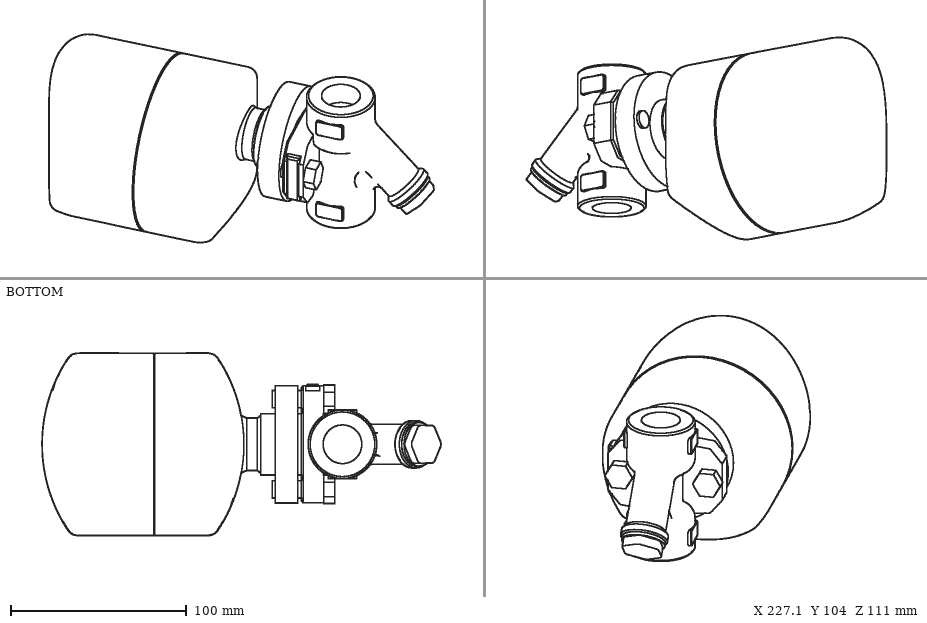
import cadquery as cq
import math

HOUSING_DIA = 104.0
HOUSING_LENGTH = 115.0
HOUSING_FREE_END_DIA = 103.8
TAPER_END_X = 50.9
END_CURVE_RADIUS = 88.5
LOWER_CORNER_CUT = 27.2
HOUSING_FILLET = 6.8
SEAM_X = 63.5
SEAM_WIDTH = 0.7
SEAM_DEPTH = 0.5

STEM_Z = 19.0
NECK_DIA = 30.0
NECK_FLARE_DIA = 33.0
NECK_FLARE_X = 113.0
NECK_START_X = 116.5
NECK_END_X = 122.5
COLLAR_DIA = 35.0
COLLAR_START_X = 124.5
FLANGE_DIA = 67.0
FLANGE_START_X = 132.5
FLANGE_THICKNESS = 13.0
BOLT_DIA = 10.0
BOLT_OFFSET = 25.7
BOLT_TIP = 1.5
NUT_FLATS = 14.0
NUT_HEIGHT = 6.4

PLATE_START_X = 147.5
PLATE_END_X = 160.3
PLATE_HALF_WIDTH = 33.4
PLATE_RIDGE_Z = 22.7
PLATE_EDGE_Y = 26.3
PLATE_EDGE_Z = 20.0
PLATE_SIDE_Z = 11.4
PLATE_EDGE_FILLET = 1.8
PLATE_BASE_CHAMFER = 1.1
SIDE_PAD_HEIGHT = 29.7
SIDE_PAD_WIDTH = 8.0
SIDE_PAD_Y = 34.0
SIDE_PAD_CHAMFER = 1.1

VALVE_X = 171.0
VALVE_DIA = 39.0
VALVE_HEIGHT = 80.0
VALVE_CHAMFER = 1.1
PORT_DIA = 22.0
PORT_DEPTH = 12.7
WAIST_DIA = 25.0
WAIST_HALF_HEIGHT = 6.5
SHOULDER_HALF_HEIGHT = 18.8
WAIST_DROP = 2.0
LABEL_WIDTH = 16.3
LABEL_HEIGHT = 10.0
LABEL_CORNER = 1.8
LABEL_CHAMFER = 0.5
LABEL_Z = 28.5
LABEL_Y = 19.8

LEG_ROOT_Z = 26.3
LEG_DIA = 23.0
LEG_COLLAR_DIA = 27.0
LEG_LIP_DIA = 25.0
CONE_START = 53.5
RIM_START = 55.9
RIM_END = 59.3
LIP_START = 60.2
HEX_START = 62.0
LEG_END = 67.5
HEX_CORNERS = 24.7
HEX_CORNER_FILLET = 3.2
LEG_FILLET = 5.5


def x_cylinder(start_x, end_x, diameter, y=0.0, z=STEM_Z):
    return cq.Workplane("YZ", origin=(start_x, y, z)).circle(diameter / 2).extrude(end_x - start_x)


def housing():
    radius = HOUSING_DIA / 2
    drum = (
        cq.Workplane("XY")
        .moveTo(0, 0)
        .lineTo(0, HOUSING_FREE_END_DIA / 2)
        .lineTo(TAPER_END_X, radius)
        .lineTo(HOUSING_LENGTH, radius)
        .lineTo(HOUSING_LENGTH, 0)
        .close()
        .revolve(360, (0, 0, 0), (1, 0, 0))
    )
    for centre_x in (END_CURVE_RADIUS, HOUSING_LENGTH - END_CURVE_RADIUS):
        bulge = (
            cq.Workplane("XY", origin=(centre_x, 0, -radius))
            .circle(END_CURVE_RADIUS)
            .extrude(HOUSING_DIA)
        )
        drum = drum.intersect(bulge)
    side_outline = (
        cq.Workplane("XZ", origin=(0, radius, 0))
        .moveTo(0, radius)
        .lineTo(HOUSING_LENGTH, radius)
        .lineTo(HOUSING_LENGTH, LOWER_CORNER_CUT - radius)
        .lineTo(HOUSING_LENGTH - LOWER_CORNER_CUT, -radius)
        .lineTo(LOWER_CORNER_CUT, -radius)
        .lineTo(0, LOWER_CORNER_CUT - radius)
        .close()
        .extrude(HOUSING_DIA)
    )
    drum = drum.intersect(side_outline).edges("not (%CIRCLE or %LINE)").fillet(HOUSING_FILLET)
    seam_ring = x_cylinder(SEAM_X, SEAM_X + SEAM_WIDTH, HOUSING_DIA + 2.3, z=0).cut(
        x_cylinder(SEAM_X, SEAM_X + SEAM_WIDTH, HOUSING_DIA - 2 * SEAM_DEPTH, z=0)
    )
    return drum.cut(seam_ring)


def stem():
    root_x = HOUSING_LENGTH - HOUSING_FILLET
    flange_end_x = FLANGE_START_X + FLANGE_THICKNESS
    return (
        cq.Workplane("XY", origin=(0, 0, STEM_Z))
        .moveTo(root_x, 0)
        .lineTo(root_x, NECK_FLARE_DIA / 2)
        .lineTo(NECK_FLARE_X, NECK_FLARE_DIA / 2)
        .lineTo(NECK_START_X, NECK_DIA / 2)
        .lineTo(NECK_END_X, NECK_DIA / 2)
        .lineTo(COLLAR_START_X, NECK_FLARE_DIA / 2)
        .lineTo(COLLAR_START_X, COLLAR_DIA / 2)
        .lineTo(FLANGE_START_X, COLLAR_DIA / 2)
        .lineTo(FLANGE_START_X, FLANGE_DIA / 2)
        .lineTo(flange_end_x, FLANGE_DIA / 2)
        .lineTo(flange_end_x, COLLAR_DIA / 2)
        .lineTo(PLATE_START_X, COLLAR_DIA / 2)
        .lineTo(PLATE_START_X, 0)
        .close()
        .revolve(360, (0, 0, 0), (1, 0, 0))
    )


def clamp_plate():
    upper_half = [
        (PLATE_HALF_WIDTH, PLATE_SIDE_Z),
        (PLATE_EDGE_Y, PLATE_EDGE_Z),
        (0, PLATE_RIDGE_Z),
        (-PLATE_EDGE_Y, PLATE_EDGE_Z),
        (-PLATE_HALF_WIDTH, PLATE_SIDE_Z),
    ]
    lower_half = [(-y, -z) for y, z in upper_half]
    plate = (
        cq.Workplane("YZ", origin=(PLATE_START_X, 0, STEM_Z))
        .polyline(upper_half + lower_half)
        .close()
        .extrude(PLATE_END_X - PLATE_START_X)
        .edges("|X")
        .edges("not (<Y or >Y or <Z or >Z)")
        .fillet(PLATE_EDGE_FILLET)
        .faces("<X")
        .chamfer(PLATE_BASE_CHAMFER)
    )
    pad = (
        cq.Workplane("XY", origin=((PLATE_START_X + PLATE_END_X) / 2, -SIDE_PAD_Y / 2, STEM_Z))
        .box(SIDE_PAD_WIDTH, SIDE_PAD_Y, SIDE_PAD_HEIGHT)
        .faces("<Y")
        .chamfer(SIDE_PAD_CHAMFER)
    )
    return plate.union(pad)


def bolt(y):
    nut = (
        cq.Workplane("YZ", origin=(PLATE_END_X, y, STEM_Z))
        .polygon(6, NUT_FLATS / math.cos(math.pi / 6))
        .extrude(NUT_HEIGHT)
    )
    return x_cylinder(FLANGE_START_X - BOLT_TIP, PLATE_END_X, BOLT_DIA, y).union(nut)


def valve_blank():
    outer = VALVE_DIA / 2
    inner = WAIST_DIA / 2
    mid_radius = (outer + inner) / 2
    mid_height = (SHOULDER_HALF_HEIGHT + WAIST_HALF_HEIGHT) / 2
    top = VALVE_HEIGHT / 2 + WAIST_DROP
    bottom = VALVE_HEIGHT / 2 - WAIST_DROP
    profile = (
        cq.Workplane("XZ", origin=(VALVE_X, 0, STEM_Z - WAIST_DROP))
        .moveTo(0, -bottom)
        .lineTo(outer, -bottom)
        .lineTo(outer, -SHOULDER_HALF_HEIGHT)
        .tangentArcPoint((mid_radius, -mid_height), relative=False)
        .tangentArcPoint((inner, -WAIST_HALF_HEIGHT), relative=False)
        .lineTo(inner, WAIST_HALF_HEIGHT)
        .tangentArcPoint((mid_radius, mid_height), relative=False)
        .tangentArcPoint((outer, SHOULDER_HALF_HEIGHT), relative=False)
        .lineTo(outer, top)
        .lineTo(0, top)
        .close()
    )
    return profile.revolve(360, (0, 0, 0), (0, 1, 0))


LEG_DIRECTION = cq.Vector(1, 0, -1)
LEG_PLANE = cq.Plane(origin=(VALVE_X, 0, STEM_Z + LEG_ROOT_Z), xDir=(0, 1, 0), normal=LEG_DIRECTION)


def leg_disc(start, end, diameter):
    return cq.Workplane(LEG_PLANE).workplane(offset=start).circle(diameter / 2).extrude(end - start)


def leg_cap():
    inner_face = cq.selectors.DirectionMinMaxSelector(LEG_DIRECTION, False)
    outer_face = cq.selectors.DirectionMinMaxSelector(LEG_DIRECTION, True)
    cone_step = (LEG_COLLAR_DIA - LEG_DIA) / 2
    rim = leg_disc(CONE_START, LIP_START, LEG_COLLAR_DIA)
    rim = rim.faces(inner_face).chamfer(RIM_START - CONE_START, cone_step)
    rim = rim.faces(outer_face).chamfer(LIP_START - RIM_END)
    lip = leg_disc(LIP_START, HEX_START, LEG_LIP_DIA)
    hexagon = (
        cq.Workplane(LEG_PLANE)
        .workplane(offset=HEX_START)
        .transformed(rotate=(0, 0, 90))
        .polygon(6, HEX_CORNERS)
        .extrude(LEG_END - HEX_START)
        .edges(cq.selectors.ParallelDirSelector(LEG_DIRECTION))
        .fillet(HEX_CORNER_FILLET)
    )
    return rim.union(lip).union(hexagon)


def label_pads(z):
    return (
        cq.Workplane("XY", origin=(VALVE_X, 0, z))
        .box(LABEL_WIDTH, 2 * LABEL_Y, LABEL_HEIGHT)
        .edges("|Y")
        .fillet(LABEL_CORNER)
        .faces("<Y or >Y")
        .chamfer(LABEL_CHAMFER)
    )


def valve():
    body = valve_blank().union(leg_disc(0, CONE_START, LEG_DIA)).edges("%BSPLINE").fillet(LEG_FILLET)
    body = body.faces("<Z or >Z").chamfer(VALVE_CHAMFER).union(leg_cap())
    for side in (-1, 1):
        body = body.union(label_pads(STEM_Z + side * LABEL_Z))
        port_mouth = cq.Workplane("XY", origin=(VALVE_X, 0, STEM_Z + side * VALVE_HEIGHT / 2))
        body = body.cut(port_mouth.circle(PORT_DIA / 2).extrude(-side * PORT_DEPTH))
    return body


result = housing().union(stem()).union(clamp_plate()).union(valve())
for bolt_y in (-BOLT_OFFSET, BOLT_OFFSET):
    result = result.union(bolt(bolt_y))